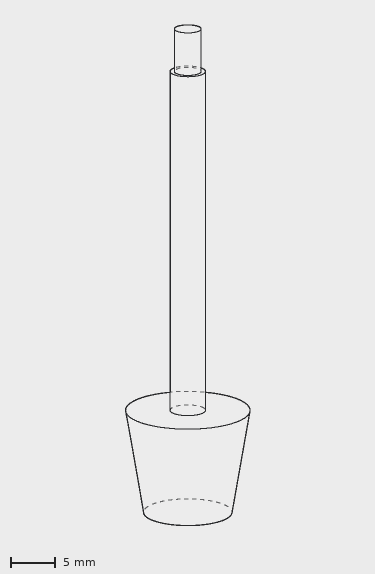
import cadquery as cq

total_height = 57.0
head_height = 12.0
tip_length = 5.0
rod_length = total_height - head_height - tip_length

head_top_diameter = 14.0
head_bottom_diameter = 10.0
rod_diameter = 4.0
tip_diameter = 3.0

head = cq.Workplane("XY").add(
    cq.Solid.makeCone(head_bottom_diameter / 2, head_top_diameter / 2, head_height)
)

rod = head.faces(">Z").workplane().circle(rod_diameter / 2).extrude(rod_length)
result = rod.faces(">Z").workplane().circle(tip_diameter / 2).extrude(tip_length)